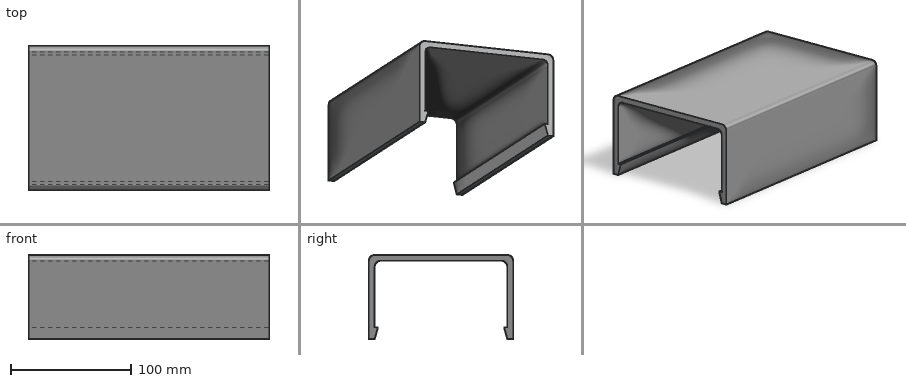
import cadquery as cq

length = 200.0
width = 120.0
height = 70.0

wall = 5.0
outer_radius = 5.0
inner_radius = 5.0

lip_height = 10.0
lip_projection = 2.6
lip_tip_flat = 0.8


def make_channel():
    """Wide channel, open at the bottom, with rounded upper corners."""
    outer = (
        cq.Workplane("XY")
        .box(length, width, height, centered=(True, True, False))
        .edges("|X and >Z")
        .fillet(outer_radius)
    )
    cavity = (
        cq.Workplane("XY")
        .box(length, width - 2 * wall, height - wall, centered=(True, True, False))
        .edges("|X and >Z")
        .fillet(inner_radius)
    )
    return outer.cut(cavity)


def make_lip(side):
    """Tapered lip on the wall at the given side of Y (+1 or -1)."""
    outer_y = side * width / 2
    inner_y = side * (width / 2 - wall)
    tip_y = inner_y - side * lip_projection
    return (
        cq.Workplane("YZ")
        .moveTo(outer_y, 0)
        .lineTo(inner_y, 0)
        .lineTo(tip_y, lip_height - lip_tip_flat)
        .lineTo(tip_y, lip_height)
        .lineTo(outer_y, lip_height)
        .close()
        .extrude(length / 2, both=True)
    )


result = make_channel()
for wall_side in (-1, 1):
    result = result.union(make_lip(wall_side))